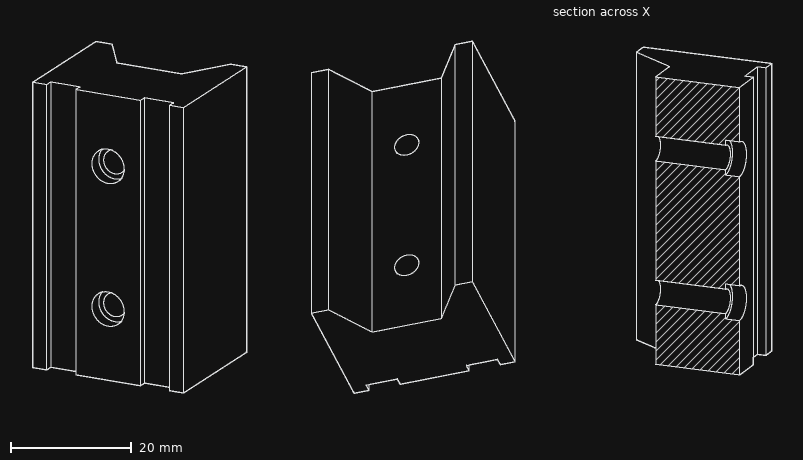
import cadquery as cq

width = 28.0
depth = 23.0
height = 50.0

lip_width = 3.0
channel_depth = 8.0
channel_floor_width = 12.0

rim_width = 2.6
groove_depth = 1.5
land_width = 12.0

hole_diameter = 4.2
counterbore_diameter = 6.0
counterbore_depth = 2.5
hole_spacing = height / 2

front_y = -depth / 2
back_y = depth / 2


def make_block():
    """Extrude the right half of the profile and mirror it about the YZ plane."""
    groove_y = front_y + groove_depth
    floor_y = back_y - channel_depth
    half = (
        cq.Workplane("XY")
        .polyline([
            (0, front_y),
            (land_width / 2, front_y),
            (land_width / 2, groove_y),
            (width / 2 - rim_width, groove_y),
            (width / 2 - rim_width, front_y),
            (width / 2, front_y),
            (width / 2, back_y),
            (width / 2 - lip_width, back_y),
            (channel_floor_width / 2, floor_y),
            (0, floor_y),
        ])
        .close()
        .extrude(height)
    )
    return half.union(half.mirror("YZ")).clean()


def make_hole(z):
    """Cutter for one hole, counterbored from the front face."""
    front_plane = cq.Workplane("XZ", origin=(0, front_y, z))
    bore = front_plane.circle(hole_diameter / 2).extrude(-depth)
    counterbore = front_plane.circle(counterbore_diameter / 2).extrude(-counterbore_depth)
    return bore.union(counterbore)


result = make_block()
for side in (-1, 1):
    result = result.cut(make_hole(height / 2 + side * hole_spacing / 2))